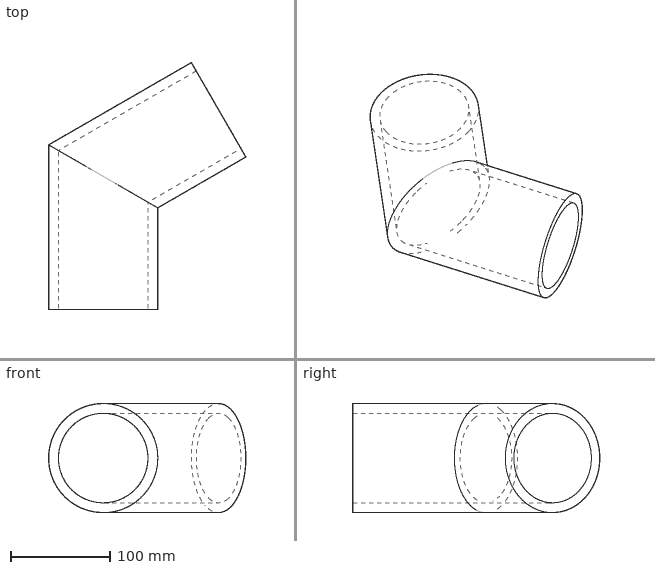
import cadquery as cq
import math

outer_diameter = 110.0
bore_diameter = 90.0

overall_length = 248.6
turn_angle = 60.0

turn = math.radians(turn_angle)
outlet_rim_rise = outer_diameter / 2 * math.sin(turn)
leg_length = (overall_length - outlet_rim_rise) / (1 + math.cos(turn))

inlet_centre = (0, -leg_length)
mitre_centre = (0, 0)
outlet_centre = (leg_length * math.sin(turn), leg_length * math.cos(turn))


def mitred_rod(diameter):
    """Solid round rod following the centreline, with a sharp mitre at the bend."""
    centreline = cq.Workplane("XY").polyline([inlet_centre, mitre_centre, outlet_centre])
    return (
        cq.Workplane("XZ", origin=(0, -leg_length, 0))
        .circle(diameter / 2)
        .sweep(centreline, transition="right")
    )


result = mitred_rod(outer_diameter).cut(mitred_rod(bore_diameter))